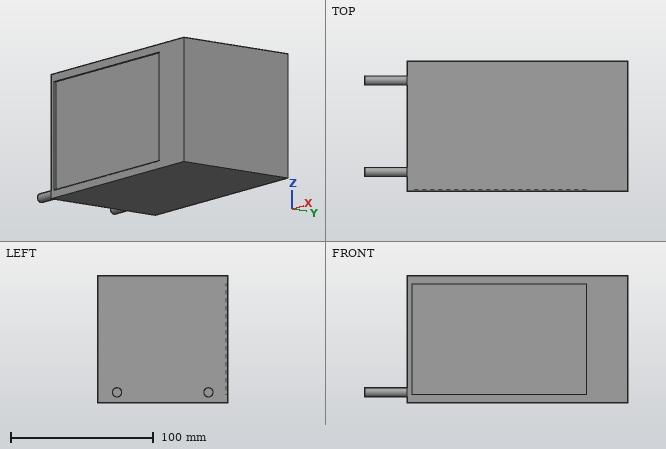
import cadquery as cq

total_length = 184.4
width = 91.3
height = 89.0

pin_length = 29.9
pin_diameter = 6.5
pin_height = 7.4
pin_spacing = 64.0

recess_length = 121.9
recess_height = 77.6
recess_depth = 1.5
recess_end_margin = 3.5
recess_bottom_margin = 5.7

body_length = total_length - pin_length


def make_body():
    """Box with its -X end on X = 0, centred on Y, standing on Z = 0."""
    return cq.Workplane("XY").box(body_length, width, height, centered=(False, True, False))


def make_recess():
    """Block that cuts the recess into the -Y side."""
    return (
        cq.Workplane("XY")
        .box(recess_length, recess_depth, recess_height, centered=False)
        .translate((recess_end_margin, -width / 2, recess_bottom_margin))
    )


def make_pin(y):
    """Round pin pointing along -X from the end of the body."""
    return (
        cq.Workplane("YZ")
        .center(y, pin_height)
        .circle(pin_diameter / 2)
        .extrude(-pin_length)
    )


result = make_body().cut(make_recess())
for side in (-1, 1):
    result = result.union(make_pin(side * pin_spacing / 2))